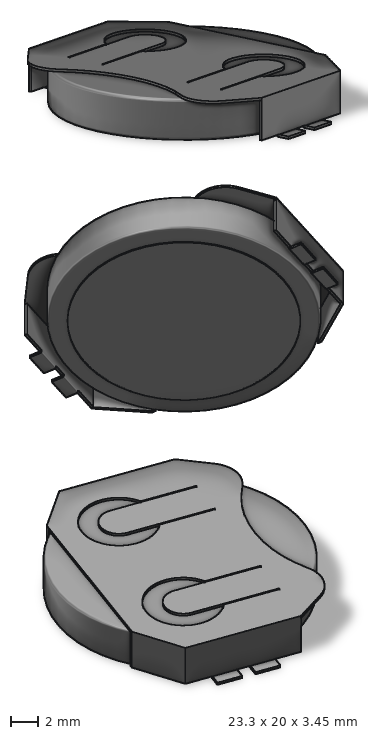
import cadquery as cq
import math

LENGTH = 23.3
HEIGHT = 3.45
SHEET = 0.2

COIN_DIAMETER = 20.0
COIN_EDGE_RADIUS = 0.23
TERMINAL_DIAMETER = 17.0
TERMINAL_HEIGHT = 0.1

HALF_WIDTH = 10.79
BACK_Y = 7.35
BACK_HALF_WIDTH = 7.3
BACK_CORNER_Y = 4.68
FRONT_CORNER_Y = -4.65
LOBE_X = 7.01
LOBE_Y = -5.57
LOBE_RADIUS = 2.52
NOTCH_Y = -6.03

TONGUE_X = 5.5
TONGUE_Y = 2.35
TONGUE_WIDTH = 3.0
OPENING_DIAMETER = 5.99
SLOT_WIDTH = 0.12
SLOT_END_Y = -4.65

FOOT_WIDTH = 2.0
FOOT_CENTRES_Y = (1.5, -1.58)
FOOT_BEND_RADIUS = 0.16

SHEET_BOTTOM = HEIGHT - SHEET
CUT_MARGIN = 0.23


def make_coin():
    """Rounded disc with a flat raised terminal underneath."""
    disc = (
        cq.Workplane("XY", origin=(0, 0, TERMINAL_HEIGHT))
        .circle(COIN_DIAMETER / 2)
        .extrude(SHEET_BOTTOM - TERMINAL_HEIGHT)
        .edges()
        .fillet(COIN_EDGE_RADIUS)
    )
    terminal = cq.Workplane("XY").circle(TERMINAL_DIAMETER / 2).extrude(TERMINAL_HEIGHT)
    return disc.union(terminal)


def lobe_point(angle):
    """Point on the right front lobe at an angle from +X."""
    return (LOBE_X + LOBE_RADIUS * math.cos(angle), LOBE_Y + LOBE_RADIUS * math.sin(angle))


def mirrored(point):
    return (-point[0], point[1])


def make_top_plate():
    """Flat plate with cut back corners, front lobes and a finger notch tangent to both lobes."""
    corner_dx = HALF_WIDTH - LOBE_X
    corner_dy = FRONT_CORNER_Y - LOBE_Y
    corner_distance = math.hypot(corner_dx, corner_dy)
    diagonal_angle = math.atan2(corner_dy, corner_dx) - math.acos(LOBE_RADIUS / corner_distance)

    drop = LOBE_Y - NOTCH_Y
    notch_radius = (LOBE_X**2 + drop**2 - LOBE_RADIUS**2) / (2 * (LOBE_RADIUS - drop))
    notch_centre_y = NOTCH_Y - notch_radius
    notch_angle = math.atan2(notch_centre_y - LOBE_Y, -LOBE_X)

    lobe_start = lobe_point(diagonal_angle)
    lobe_middle = lobe_point((diagonal_angle + notch_angle) / 2)
    lobe_end = lobe_point(notch_angle)
    return (
        cq.Workplane("XY", origin=(0, 0, SHEET_BOTTOM))
        .moveTo(-BACK_HALF_WIDTH, BACK_Y)
        .lineTo(BACK_HALF_WIDTH, BACK_Y)
        .lineTo(HALF_WIDTH, BACK_CORNER_Y)
        .lineTo(HALF_WIDTH, FRONT_CORNER_Y)
        .lineTo(*lobe_start)
        .threePointArc(lobe_middle, lobe_end)
        .threePointArc((0, NOTCH_Y), mirrored(lobe_end))
        .threePointArc(mirrored(lobe_middle), mirrored(lobe_start))
        .lineTo(-HALF_WIDTH, FRONT_CORNER_Y)
        .lineTo(-HALF_WIDTH, BACK_CORNER_Y)
        .close()
        .extrude(SHEET)
    )


def make_tongue_opening(x):
    """Round opening and two slots that free a round-tipped tongue."""
    depth = SHEET + 2 * CUT_MARGIN
    plane = cq.Workplane("XY", origin=(x, TONGUE_Y, SHEET_BOTTOM - CUT_MARGIN))
    slot_length = TONGUE_Y - SLOT_END_Y
    tongue_length = slot_length + CUT_MARGIN

    opening = plane.circle(OPENING_DIAMETER / 2).extrude(depth)
    slots = (
        plane.center(0, -slot_length / 2)
        .rect(TONGUE_WIDTH + 2 * SLOT_WIDTH, slot_length)
        .extrude(depth)
    )
    tip = plane.circle(TONGUE_WIDTH / 2).extrude(depth)
    strip = plane.center(0, -tongue_length / 2).rect(TONGUE_WIDTH, tongue_length).extrude(depth)
    return opening.union(slots).cut(tip.union(strip))


def make_side_wall():
    """Right wall, bent down along the straight side and the back diagonal."""
    diagonal_dx = HALF_WIDTH - BACK_HALF_WIDTH
    diagonal_dy = BACK_Y - BACK_CORNER_Y
    diagonal_length = math.hypot(diagonal_dx, diagonal_dy)
    inner_x = HALF_WIDTH - SHEET
    inner_corner_y = BACK_CORNER_Y - SHEET * (diagonal_length - diagonal_dy) / diagonal_dx
    inner_back_x = BACK_HALF_WIDTH - SHEET * diagonal_length / diagonal_dy
    return (
        cq.Workplane("XY", origin=(0, 0, SHEET))
        .polyline([
            (HALF_WIDTH, FRONT_CORNER_Y),
            (HALF_WIDTH, BACK_CORNER_Y),
            (BACK_HALF_WIDTH, BACK_Y),
            (inner_back_x, BACK_Y),
            (inner_x, inner_corner_y),
            (inner_x, FRONT_CORNER_Y),
        ])
        .close()
        .extrude(SHEET_BOTTOM - SHEET)
    )


def make_foot(y):
    """Right solder foot, turned outward at the bottom of the wall with a rounded bend."""
    inner_x = HALF_WIDTH - SHEET
    foot_length = LENGTH / 2 - inner_x
    return (
        cq.Workplane("XY")
        .box(foot_length, FOOT_WIDTH, SHEET, centered=(False, True, False))
        .edges("|Y and <X and <Z")
        .fillet(FOOT_BEND_RADIUS)
        .translate((inner_x, y, 0))
    )


def make_holder():
    holder = make_top_plate()
    for x in (-TONGUE_X, TONGUE_X):
        holder = holder.cut(make_tongue_opening(x))
    side = make_side_wall()
    for y in FOOT_CENTRES_Y:
        side = side.union(make_foot(y))
    return holder.union(side).union(side.mirror("YZ"))


coin = make_coin()
holder = make_holder()
result = cq.Compound.makeCompound([*coin.solids().vals(), *holder.solids().vals()])